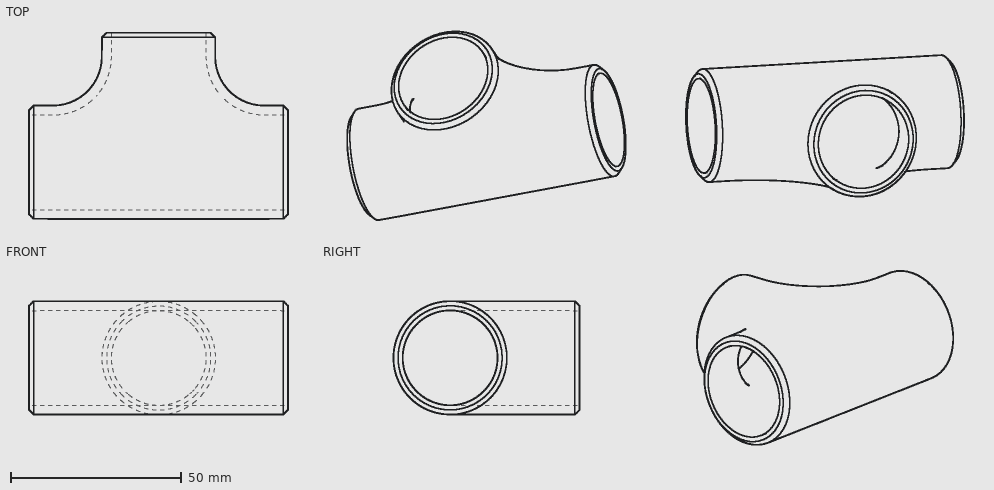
import cadquery as cq

outer_radius = 16.7
wall = 2.77
bore_radius = outer_radius - wall
end_length = 38.1
bevel = wall / 2
bend_radius = 31.0
stub_length = end_length - bend_radius


def stub(plane_name, center, direction, radius):
    """Straight cylinder from the end of a bend out to the end face of the tee."""
    return cq.Workplane(plane_name, origin=center).circle(radius).extrude(direction * stub_length)


def right_stub(radius):
    """Straight end of the run on the +X side."""
    return stub("YZ", (bend_radius, 0, 0), 1, radius)


def left_stub(radius):
    """Straight end of the run on the -X side."""
    return stub("YZ", (-bend_radius, 0, 0), -1, radius)


def branch_stub(radius):
    """Straight end of the branch on the +Y side."""
    return stub("XZ", (0, bend_radius, 0), -1, radius)


def run_back(radius):
    """Half cylinder forming the -Y side of the run between its two stubs."""
    return (
        cq.Workplane("YZ")
        .moveTo(0, -radius)
        .threePointArc((-radius, 0), (0, radius))
        .close()
        .extrude(bend_radius, both=True)
    )


def web(radius):
    """Flat-faced web on the +Y side of the run, bounded by the two bend centrelines."""
    return (
        cq.Workplane("XY", origin=(0, 0, -radius))
        .moveTo(-bend_radius, 0)
        .radiusArc((0, bend_radius), -bend_radius)
        .radiusArc((bend_radius, 0), -bend_radius)
        .close()
        .extrude(2 * radius)
    )


def right_shoulder(radius):
    """Inner half of a quarter torus that turns the +X end of the run into the branch."""
    return (
        cq.Workplane("XZ", origin=(0, bend_radius, 0))
        .moveTo(0, -radius)
        .threePointArc((radius, 0), (0, radius))
        .close()
        .revolve(90, (bend_radius, 0), (bend_radius, 1))
    )


def middle(radius):
    """Tee without its three straight ends."""
    shoulder = right_shoulder(radius)
    return run_back(radius).union(web(radius)).union(shoulder).union(shoulder.mirror("YZ"))


outside = (
    middle(outer_radius)
    .union(right_stub(outer_radius).faces(">X").chamfer(bevel))
    .union(left_stub(outer_radius).faces("<X").chamfer(bevel))
    .union(branch_stub(outer_radius).faces(">Y").chamfer(bevel))
)
inside = (
    middle(bore_radius)
    .union(right_stub(bore_radius))
    .union(left_stub(bore_radius))
    .union(branch_stub(bore_radius))
)

result = outside.cut(inside)